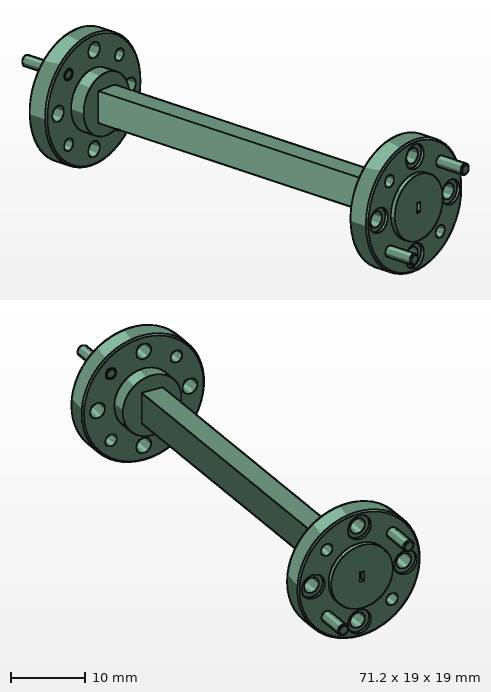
import cadquery as cq
import math

overall_length = 71.25
half_length = overall_length / 2

flange_diameter = 19.0
flange_thickness = 3.3
flange_chamfer = 0.235
pin_protrusion = 4.6
flange_face_x = half_length - pin_protrusion
flange_back_x = flange_face_x - flange_thickness

boss_diameter = 9.55
boss_height = 0.7
boss_face_x = flange_face_x + boss_height
collar_diameter = 9.1
collar_length = 2.3
collar_end_x = flange_back_x - collar_length

guide_width = 3.3
guide_height = 4.6
aperture_width = 0.65
aperture_height = 1.4
aperture_depth = 0.7

hole_circle_diameter = 14.3
hole_circle_radius = hole_circle_diameter / 2
screw_hole_diameter = 2.3
counterbore_diameter = 3.55
counterbore_depth = 0.5
pin_diameter = 1.65
socket_diameter = 1.8
pin_chamfer = 0.18

screw_angles = (0, 90, 180, 270)
pin_angles = {-1: (135, 315), 1: (45, 225)}


def cylinder(diameter, x_start, x_end, y=0.0, z=0.0):
    """Cylinder parallel to X between two X positions."""
    return (
        cq.Workplane("YZ", origin=(min(x_start, x_end), y, z))
        .circle(diameter / 2)
        .extrude(abs(x_end - x_start))
    )


def on_hole_circle(angle):
    """Y and Z of a point on the hole circle."""
    turn = math.radians(angle)
    return hole_circle_radius * math.cos(turn), hole_circle_radius * math.sin(turn)


def make_flange(side):
    """Flange with its contact face and collar; side is -1 or +1 along X."""
    disc = cylinder(flange_diameter, side * flange_back_x, side * flange_face_x)
    disc = disc.edges("%CIRCLE").chamfer(flange_chamfer)
    boss = cylinder(boss_diameter, side * flange_face_x, side * boss_face_x)
    collar = cylinder(collar_diameter, side * collar_end_x, side * flange_back_x)
    return disc.union(boss).union(collar)


def cut_flange_holes(body, side):
    """Counterbored screw holes, pin holes and pin sockets of one flange."""
    back_x = side * flange_back_x
    face_x = side * flange_face_x
    counterbore_floor_x = side * (flange_face_x - counterbore_depth)
    for angle in screw_angles:
        y, z = on_hole_circle(angle)
        body = body.cut(cylinder(screw_hole_diameter, back_x, face_x, y, z))
        body = body.cut(cylinder(counterbore_diameter, counterbore_floor_x, face_x, y, z))
    for angle in pin_angles[side]:
        y, z = on_hole_circle(angle)
        body = body.cut(cylinder(pin_diameter, back_x, face_x, y, z))
    for angle in pin_angles[-side]:
        y, z = on_hole_circle(angle)
        body = body.cut(cylinder(socket_diameter, back_x, face_x, y, z))
    return body


def cut_aperture(body, side):
    """Small rectangular recess in the middle of a contact face."""
    centre_x = side * (boss_face_x - aperture_depth / 2)
    recess = cq.Workplane("XY").box(aperture_depth, aperture_width, aperture_height)
    return body.cut(recess.translate((centre_x, 0, 0)))


def make_waveguide():
    """Rectangular guide with a drilled flange at each end."""
    body = cq.Workplane("XY").box(2 * collar_end_x, guide_width, guide_height)
    for side in (-1, 1):
        body = body.union(make_flange(side))
        body = cut_flange_holes(body, side)
        body = cut_aperture(body, side)
    return body


def make_pin(side, angle):
    """Alignment pin running from the flange back to beyond the contact face."""
    y, z = on_hole_circle(angle)
    pin = cylinder(pin_diameter, side * flange_back_x, side * half_length, y, z)
    return pin.edges("%CIRCLE").chamfer(pin_chamfer)


waveguide = make_waveguide()
pins = [make_pin(side, angle) for side in (-1, 1) for angle in pin_angles[side]]

result = cq.Compound.makeCompound([waveguide.val(), *[pin.val() for pin in pins]])